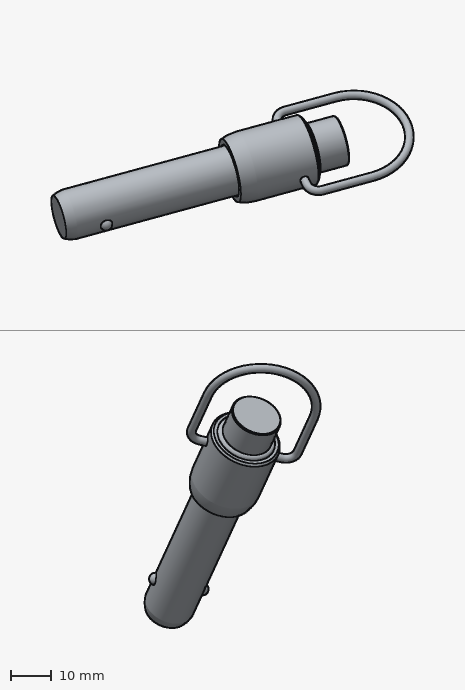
import cadquery as cq
import math

total_length = 91.7

shank_radius = 6.3
tip_radius = 5.5
tip_length = 2.7
tip_bulge = 0.14

ball_radius = 1.6
ball_offset = 6.05
ball_y = 10.2

collar_radius = 8.9
collar_front_radius = 8.1
collar_front_y = 44.65
collar_nose_length = 4.1
collar_nose_bulge = 0.23
bore_clearance = 0.3
bore_clearance_depth = 0.9
collar_back_y = 65.1
collar_chamfer = 0.55
step_radius = 7.4
step_round = 0.8
button_end_y = 73.6
button_chamfer = 0.3

wire_radius = 1.1
handle_width = 29.4
bend_radius = 3.0
handle_foot_y = 60.9
foot_end_x = 7.3


def bulged_mid(start, end, bulge):
    """Middle point of a gently convex profile arc, pushed away from the axis."""
    return ((start[0] + end[0]) / 2 + bulge, (start[1] + end[1]) / 2)


def make_body():
    """Revolve the shank, collar with its bore clearance, step and button about the Y axis."""
    tip_start = (tip_radius, 0)
    tip_end = (shank_radius, tip_length)
    nose_start = (collar_front_radius, collar_front_y)
    nose_end = (collar_radius, collar_front_y + collar_nose_length)
    bore_radius = shank_radius + bore_clearance
    step_end_y = collar_back_y + step_round
    profile = (
        cq.Workplane("XY")
        .moveTo(0, 0)
        .lineTo(*tip_start)
        .threePointArc(bulged_mid(tip_start, tip_end, tip_bulge), tip_end)
        .lineTo(shank_radius, collar_front_y + bore_clearance_depth)
        .lineTo(bore_radius, collar_front_y + bore_clearance_depth)
        .lineTo(bore_radius, collar_front_y)
        .lineTo(*nose_start)
        .threePointArc(bulged_mid(nose_start, nose_end, collar_nose_bulge), nose_end)
        .lineTo(collar_radius, collar_back_y - collar_chamfer)
        .lineTo(collar_radius - collar_chamfer, collar_back_y)
        .lineTo(step_radius, collar_back_y)
        .radiusArc((step_radius - step_round, step_end_y), -step_round)
        .lineTo(shank_radius, step_end_y)
        .lineTo(shank_radius, button_end_y - button_chamfer)
        .lineTo(shank_radius - button_chamfer, button_end_y)
        .lineTo(0, button_end_y)
        .close()
    )
    return profile.revolve(360, (0, 0, 0), (0, 1, 0))


def make_handle():
    """Sweep the round wire along the U-shaped handle and its inturned feet."""
    bow_radius = handle_width / 2 - wire_radius
    bow_center_y = total_length - wire_radius - bow_radius
    bend_end_x = bow_radius - bend_radius
    bend_end_y = handle_foot_y + bend_radius
    bend_mid_x = bend_end_x + bend_radius * math.sqrt(0.5)
    bend_mid_y = bend_end_y - bend_radius * math.sqrt(0.5)
    path = (
        cq.Workplane("XY")
        .moveTo(-foot_end_x, handle_foot_y)
        .lineTo(-bend_end_x, handle_foot_y)
        .threePointArc((-bend_mid_x, bend_mid_y), (-bow_radius, bend_end_y))
        .lineTo(-bow_radius, bow_center_y)
        .threePointArc((0, bow_center_y + bow_radius), (bow_radius, bow_center_y))
        .lineTo(bow_radius, bend_end_y)
        .threePointArc((bend_mid_x, bend_mid_y), (bend_end_x, handle_foot_y))
        .lineTo(foot_end_x, handle_foot_y)
    )
    wire_section = cq.Workplane("YZ", origin=(-foot_end_x, handle_foot_y, 0)).circle(wire_radius)
    return wire_section.sweep(path)


result = make_body().union(make_handle())
for side in (-1, 1):
    ball = cq.Workplane("XY").sphere(ball_radius).translate((side * ball_offset, ball_y, 0))
    result = result.union(ball)